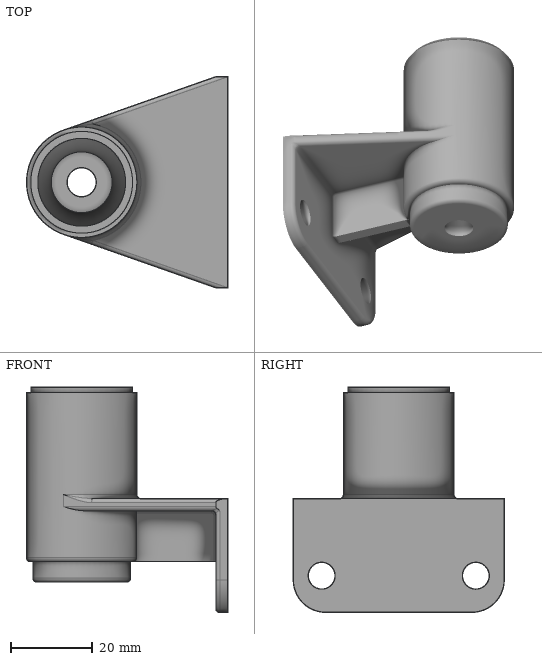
import cadquery as cq
import math

total_height = 55.5
plate_top = 28.0

body_radius = 13.6
body_bottom = 12.5
collar_radius = 12.55
collar_height = 1.4
spigot_radius = 12.05
spigot_bottom = 7.5
bore_radius = 10.8

bore_floor_thickness = 2.0
seat_radius = 7.5
seat_flare_angle = math.radians(45)
drain_hole_radius = 3.55

sheet_thickness = 3.0
wall_outer_x = 36.0
wall_width = 52.0
wall_corner_radius = 8.05
screw_hole_radius = 3.3
screw_hole_offset = 19.0
screw_hole_height = 9.05

rib_thickness = 3.0
rib_fillet = 0.5

edge_round = 1.0
root_fillet = 1.0

tolerance = 0.005

wall_half_width = wall_width / 2
plate_bottom = plate_top - sheet_thickness
wall_inner_x = wall_outer_x - sheet_thickness

tangent_angle = math.atan2(wall_half_width, wall_inner_x) + math.acos(
    body_radius / math.hypot(wall_inner_x, wall_half_width)
)
tangent_x = body_radius * math.cos(tangent_angle)
tangent_y = body_radius * math.sin(tangent_angle)


def cylinder(radius, bottom, top):
    return cq.Workplane("XY", origin=(0, 0, bottom)).circle(radius).extrude(top - bottom)


def pick_edges(part, condition):
    """Select the edges whose centre point satisfies the condition."""
    return part.newObject([edge for edge in part.edges().vals() if condition(edge.Center())])


def near(value, target):
    return abs(value - target) < tolerance


def socket():
    body = cylinder(body_radius, body_bottom, total_height - collar_height)
    body = body.faces("<Z").edges().fillet(edge_round)
    spigot = cylinder(spigot_radius, spigot_bottom, plate_top)
    spigot = spigot.faces("<Z").edges().fillet(edge_round)
    collar = cylinder(collar_radius, plate_top, total_height)
    return body.union(spigot).union(collar)


def bore():
    """Open bore with the flared seat left standing on its floor, and the drain hole."""
    floor_z = spigot_bottom + bore_floor_thickness
    flare_radius = (bore_radius - seat_radius) / (1 - math.cos(seat_flare_angle))
    seat_z = floor_z + flare_radius * math.sin(seat_flare_angle)
    half_angle = seat_flare_angle / 2
    flare_middle = (
        seat_radius + flare_radius * (1 - math.cos(half_angle)),
        seat_z - flare_radius * math.sin(half_angle),
    )
    cavity = (
        cq.Workplane("XZ")
        .moveTo(0, total_height)
        .lineTo(0, seat_z)
        .lineTo(seat_radius, seat_z)
        .threePointArc(flare_middle, (bore_radius, floor_z))
        .lineTo(bore_radius, total_height)
        .close()
        .revolve(360, (0, 0, 0), (0, 1, 0))
    )
    return cavity.union(cylinder(drain_hole_radius, 0, total_height))


def plate(bottom, top):
    """Slab in the plan shape of the bracket plate."""
    return (
        cq.Workplane("XY", origin=(0, 0, bottom))
        .polyline([
            (tangent_x, tangent_y),
            (wall_inner_x, wall_half_width),
            (wall_outer_x, wall_half_width),
            (wall_outer_x, -wall_half_width),
            (wall_inner_x, -wall_half_width),
            (tangent_x, -tangent_y),
        ])
        .close()
        .extrude(top - bottom)
    )


def mounting_wall():
    return (
        cq.Workplane("YZ", origin=(wall_inner_x, 0, 0))
        .moveTo(0, plate_top / 2)
        .rect(wall_width, plate_top)
        .extrude(sheet_thickness)
        .edges("|X and <Z").fillet(wall_corner_radius)
    )


def bracket():
    part = plate(plate_bottom, plate_top).union(mounting_wall())
    part = pick_edges(
        part,
        lambda c: near(c.z, plate_bottom) and tangent_y < abs(c.y) < wall_half_width - sheet_thickness,
    ).fillet(edge_round)
    part = pick_edges(
        part,
        lambda c: near(c.x, wall_inner_x) and c.z < plate_bottom - tolerance,
    ).fillet(edge_round)
    return pick_edges(
        part,
        lambda c: near(c.z, plate_bottom) and near(c.x, wall_inner_x) and near(c.y, 0),
    ).fillet(root_fillet)


def rib():
    """Rib under the plate, from the socket axis to the wall."""
    return (
        cq.Workplane("XY")
        .box(wall_inner_x, rib_thickness, plate_bottom - body_bottom, centered=(False, True, False))
        .translate((0, 0, body_bottom))
    )


def socket_root_ring():
    """Concave fillet around the socket, trimmed to the plan shape of the plate."""
    base = plate_top - root_fillet
    arc_reach = root_fillet * (1 - math.sqrt(0.5))
    ring = (
        cq.Workplane("XZ")
        .moveTo(bore_radius, base)
        .lineTo(body_radius + root_fillet, base)
        .lineTo(body_radius + root_fillet, plate_top)
        .threePointArc(
            (body_radius + arc_reach, plate_top + arc_reach),
            (body_radius, plate_top + root_fillet),
        )
        .lineTo(bore_radius, plate_top + root_fillet)
        .close()
        .revolve(360, (0, 0, 0), (0, 1, 0))
    )
    return ring.intersect(plate(base, plate_top + root_fillet))


def screw_holes():
    return (
        cq.Workplane("YZ")
        .pushPoints([(side * screw_hole_offset, screw_hole_height) for side in (-1, 1)])
        .circle(screw_hole_radius)
        .extrude(wall_outer_x)
    )


part = bracket().union(socket_root_ring()).union(socket())

part = pick_edges(
    part,
    lambda c: plate_top - tolerance < c.z < plate_top + root_fillet
    and abs(c.y) > tangent_y + tolerance
    and c.x < wall_inner_x,
).fillet(edge_round)

part = part.union(rib())
part = pick_edges(
    part,
    lambda c: near(abs(c.y), rib_thickness / 2)
    and body_radius < c.x
    and c.z > body_bottom + tolerance,
).fillet(rib_fillet)

result = part.cut(bore()).cut(screw_holes())